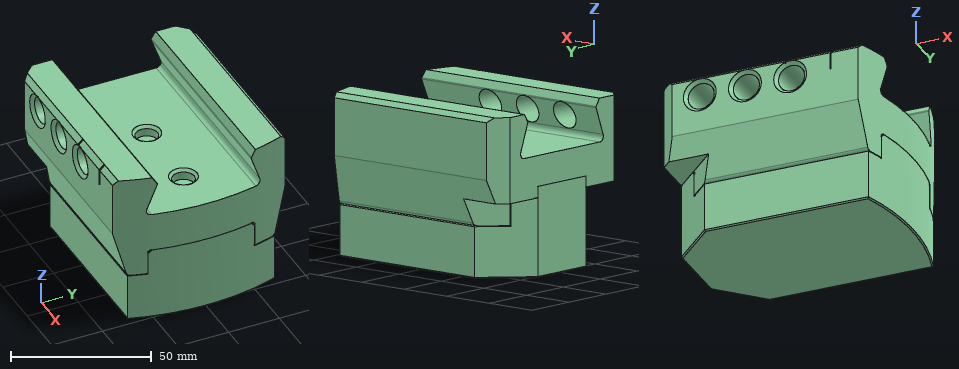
import cadquery as cq
import math

length = 84.0
end_radius = 93.2
block_half_width = 34.0
total_height = 60.15

base_half_width = 29.0
base_corner = 16.0
base_bottom_chamfer = 0.5
ledge_height = 18.8
seat_height = 29.0
tongue_front = -21.8
tongue_back = 19.8
tongue_chamfer = 1.35
key_height = 33.1
key_half_width = base_half_width - base_corner
key_length = base_corner

block_corner_front = 5.6
block_corner_back = 6.0
skirt_clearance = 0.25
skirt_bottom = ledge_height + skirt_clearance
skirt_fillet = 1.5
skirt_root_chamfer = 0.7
slope_top = 37.55
slope_angle = 15.0
top_chamfer_width = 2.0
top_chamfer_height = 1.8

channel_depth = 15.9
channel_floor = total_height - channel_depth
mouth_half_width = 20.3
lip_half_width = 18.4
lip_drop = 2.9
floor_half_width = 23.2
channel_fillet = 1.85
lip_fillet = 0.5

side_hole_diameter = 10.1
side_hole_mouth = 12.7
side_hole_first_x = 16.3
side_hole_pitch = 17.5
side_hole_count = 3
side_hole_z = 52.1
floor_hole_diameter = 8.4
floor_hole_mouth = 10.6
floor_hole_xs = (35.1, 65.1)
screw_recess = 4.2

mark_width = 0.25
mark_depth = 0.25
mark_xs = (49.4, 66.9)

edge_tolerance = 0.1


def end_x(y):
    """X of the curved end at a given Y."""
    return length - end_radius + math.sqrt(end_radius**2 - y**2)


def plan_prism(half_width, front_corner, back_corner, bottom, top):
    """Vertical prism with two cut corners at the flat end and an arc at the other."""
    return (
        cq.Workplane("XY", origin=(0, 0, bottom))
        .moveTo(front_corner, -half_width)
        .lineTo(end_x(half_width), -half_width)
        .threePointArc((length, 0), (end_x(half_width), half_width))
        .lineTo(back_corner, half_width)
        .lineTo(0, half_width - back_corner)
        .lineTo(0, front_corner - half_width)
        .close()
        .extrude(top - bottom)
    )


def along_x(points):
    """Section in the YZ plane swept over the full length."""
    return cq.Workplane("YZ").polyline(points).close().extrude(length)


def long_edge_at(y, z):
    """Selector for the full-length edge that passes through a given Y and Z."""
    return cq.selectors.BoxSelector(
        (0, y - edge_tolerance, z - edge_tolerance),
        (length, y + edge_tolerance, z + edge_tolerance),
    )


def key(bottom):
    """Key at the flat end, from a given height up to the key top."""
    return cq.Workplane("XY", origin=(0, 0, bottom)).box(
        key_length, 2 * key_half_width, key_height - bottom, centered=(False, True, False)
    )


def make_base():
    """Foot with a shouldered tongue on top and a key at the flat end."""
    body = plan_prism(base_half_width, base_corner, base_corner, 0, seat_height)
    body = body.faces("<Z").chamfer(base_bottom_chamfer)
    section = along_x([
        (-base_half_width, 0),
        (base_half_width, 0),
        (base_half_width, ledge_height),
        (tongue_back, ledge_height),
        (tongue_back, seat_height - tongue_chamfer),
        (tongue_back - tongue_chamfer, seat_height),
        (tongue_front + tongue_chamfer, seat_height),
        (tongue_front, seat_height - tongue_chamfer),
        (tongue_front, ledge_height),
        (-base_half_width, ledge_height),
    ])
    return body.intersect(section).union(key(ledge_height))


def block_section():
    """Outer section of the block: leaning sides, top chamfers and skirts astride the tongue."""
    lean = (slope_top - skirt_bottom) * math.tan(math.radians(slope_angle))
    foot = block_half_width - lean
    shoulder = block_half_width - top_chamfer_width
    skirt_back = tongue_back + skirt_clearance
    section = along_x([
        (-foot, skirt_bottom),
        (tongue_front, skirt_bottom),
        (tongue_front, seat_height - skirt_root_chamfer),
        (tongue_front + skirt_root_chamfer, seat_height),
        (skirt_back - skirt_root_chamfer, seat_height),
        (skirt_back, seat_height - skirt_root_chamfer),
        (skirt_back, skirt_bottom),
        (foot, skirt_bottom),
        (block_half_width, slope_top),
        (block_half_width, total_height - top_chamfer_height),
        (shoulder, total_height),
        (-shoulder, total_height),
        (-block_half_width, total_height - top_chamfer_height),
        (-block_half_width, slope_top),
    ])
    skirt_edges = long_edge_at(-foot, skirt_bottom) + long_edge_at(foot, skirt_bottom)
    return section.edges(skirt_edges).fillet(skirt_fillet)


def channel():
    """Dovetail channel with rounded floor corners and lips."""
    lip_height = total_height - lip_drop
    cutter = along_x([
        (-floor_half_width, channel_floor),
        (floor_half_width, channel_floor),
        (lip_half_width, lip_height),
        (mouth_half_width, total_height),
        (-mouth_half_width, total_height),
        (-lip_half_width, lip_height),
    ])
    cutter = cutter.edges("|X").edges("<Z").fillet(channel_fillet)
    lips = long_edge_at(-lip_half_width, lip_height) + long_edge_at(lip_half_width, lip_height)
    return cutter.edges(lips).fillet(lip_fillet)


def countersunk_cutter(start, direction, diameter, mouth, depth):
    """Round hole with a 45 degree countersink at its start."""
    start = cq.Vector(*start)
    direction = cq.Vector(*direction)
    sink = (mouth - diameter) / 2
    bore = cq.Solid.makeCylinder(diameter / 2, depth, start, direction)
    cone = cq.Solid.makeCone(mouth / 2, diameter / 2, sink, start, direction)
    return cq.Workplane(bore).union(cq.Workplane(cone))


def index_mark(x):
    """Shallow groove over the -Y top chamfer and down to the side hole axis."""
    shoulder = block_half_width - top_chamfer_width
    return (
        cq.Workplane("YZ", origin=(x - mark_width / 2, 0, 0))
        .polyline([
            (-block_half_width, side_hole_z),
            (-block_half_width, total_height - top_chamfer_height),
            (-shoulder, total_height),
            (-shoulder, total_height - mark_depth),
            (-block_half_width + mark_depth, total_height - top_chamfer_height - mark_depth),
            (-block_half_width + mark_depth, side_hole_z),
        ])
        .close()
        .extrude(mark_width)
    )


def make_block():
    """Upper block with the channel, its holes, its marks and the notch for the key."""
    upper = plan_prism(
        block_half_width, block_corner_front, block_corner_back, seat_height, total_height
    )
    overhang = block_half_width - base_half_width
    skirt_corner = base_corner + overhang
    lower = plan_prism(block_half_width, skirt_corner, skirt_corner, skirt_bottom, seat_height)
    body = upper.union(lower).intersect(block_section())
    body = body.cut(channel()).cut(key(seat_height))
    for index in range(side_hole_count):
        x = side_hole_first_x + index * side_hole_pitch
        body = body.cut(countersunk_cutter(
            (x, -block_half_width, side_hole_z), (0, 1, 0),
            side_hole_diameter, side_hole_mouth, block_half_width,
        ))
    for x in floor_hole_xs:
        body = body.cut(countersunk_cutter(
            (x, 0, channel_floor), (0, 0, -1),
            floor_hole_diameter, floor_hole_mouth, channel_floor - seat_height,
        ))
    for x in mark_xs:
        body = body.cut(index_mark(x))
    return body


def make_setscrew(x):
    """Plain setscrew filling a floor hole, standing on the base."""
    top = channel_floor - screw_recess
    return (
        cq.Workplane("XY", origin=(x, 0, seat_height))
        .circle(floor_hole_diameter / 2)
        .extrude(top - seat_height)
    )


base = make_base()
block = make_block()
setscrews = [make_setscrew(x) for x in floor_hole_xs]

result = cq.Compound.makeCompound([
    base.val(),
    block.val(),
    *[screw.val() for screw in setscrews],
])